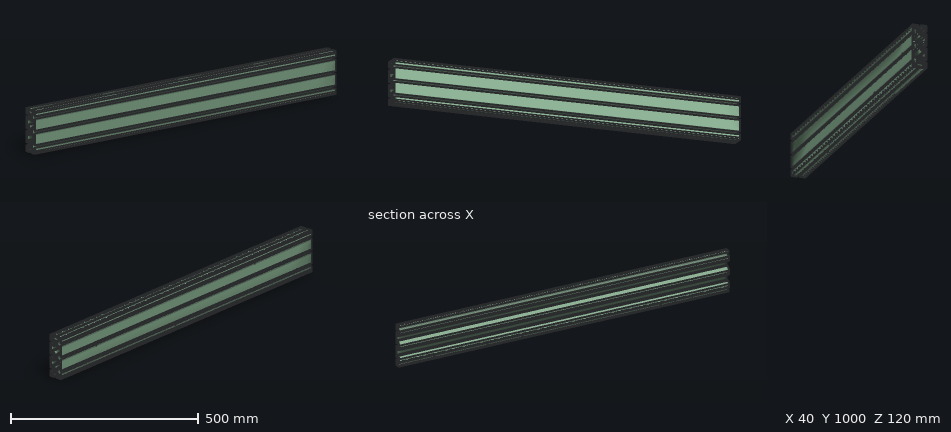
import cadquery as cq

module = 40.0
module_count = 3
length = 1000.0
height = module * module_count
half_width = module / 2
corner_radius = 3.0

slot_opening = 8.0
mouth_radius = 1.0
lip_thickness = 4.0
pocket_half_width = 9.2
slot_depth = 13.0
corner_bevel = 4.0
web_bevel = 5.5
middle_bevel = 4.5
pocket_radius = 1.5

bore_diameter = 6.8

hollow_size = 5.0
hollow_inset = 2.5

wall_thickness = lip_thickness
chamber_tip_offset = 4.5
outer_shoulder_offset = 11.0
middle_shoulder_offset = 14.0

module_centres = [(i - (module_count - 1) / 2) * module for i in range(module_count)]


def prism(points):
    """Closed outline in X and Z, extruded over the full length of the bar."""
    return cq.Workplane("XZ").polyline(points).close().extrude(length / 2, both=True)


def t_slot(upper_bevel, lower_bevel):
    """T-slot sunk into the +X face of a module centred on the Y axis."""
    opening = slot_opening / 2
    lip_x = half_width - lip_thickness
    floor_x = half_width - slot_depth
    undercut = prism([
        (lip_x, pocket_half_width),
        (floor_x + upper_bevel, pocket_half_width),
        (floor_x, pocket_half_width - upper_bevel),
        (floor_x, lower_bevel - pocket_half_width),
        (floor_x + lower_bevel, -pocket_half_width),
        (lip_x, -pocket_half_width),
    ])
    undercut = undercut.edges("|Y").fillet(pocket_radius)
    mouth = (
        cq.Workplane("XZ")
        .moveTo(lip_x, opening)
        .lineTo(half_width - mouth_radius, opening)
        .radiusArc((half_width, opening + mouth_radius), -mouth_radius)
        .lineTo(half_width, -opening - mouth_radius)
        .radiusArc((half_width - mouth_radius, -opening), -mouth_radius)
        .lineTo(lip_x, -opening)
        .close()
        .extrude(length / 2, both=True)
    )
    return undercut.union(mouth)


def chamber():
    """Hollow above the middle core, tapering at 45 degrees towards both cores next to it."""
    wall_x = half_width - wall_thickness
    low_x = middle_shoulder_offset - chamber_tip_offset
    high_x = outer_shoulder_offset - chamber_tip_offset
    low_z = middle_shoulder_offset
    high_z = module - outer_shoulder_offset
    return prism([
        (0, chamber_tip_offset),
        (low_x, low_z),
        (wall_x, low_z),
        (wall_x, high_z),
        (high_x, high_z),
        (0, module - chamber_tip_offset),
        (-high_x, high_z),
        (-wall_x, high_z),
        (-wall_x, low_z),
        (-low_x, low_z),
    ])


bar = cq.Workplane("XY").box(module, length, height).edges("|Y").fillet(corner_radius)

middle_slot = t_slot(middle_bevel, middle_bevel)
side_slot = t_slot(corner_bevel, web_bevel).translate((0, 0, module))
end_slot = t_slot(corner_bevel, corner_bevel).rotate((0, 0, 0), (0, 1, 0), -90).translate((0, 0, module))
bar = bar.cut(middle_slot).cut(middle_slot.mirror("YZ"))
for slot in (side_slot, side_slot.mirror("YZ"), end_slot):
    bar = bar.cut(slot).cut(slot.mirror("XY"))

upper_chamber = chamber()
bar = bar.cut(upper_chamber).cut(upper_chamber.mirror("XY"))

bore_points = [(0, z) for z in module_centres]
bores = cq.Workplane("XZ").pushPoints(bore_points).circle(bore_diameter / 2)
bar = bar.cut(bores.extrude(length / 2, both=True))

hollow_x_pitch = module - 2 * hollow_inset - hollow_size
hollow_z_pitch = height - 2 * hollow_inset - hollow_size
hollows = cq.Workplane("XZ").rarray(hollow_x_pitch, hollow_z_pitch, 2, 2).rect(hollow_size, hollow_size)
bar = bar.cut(hollows.extrude(length / 2, both=True))

result = bar